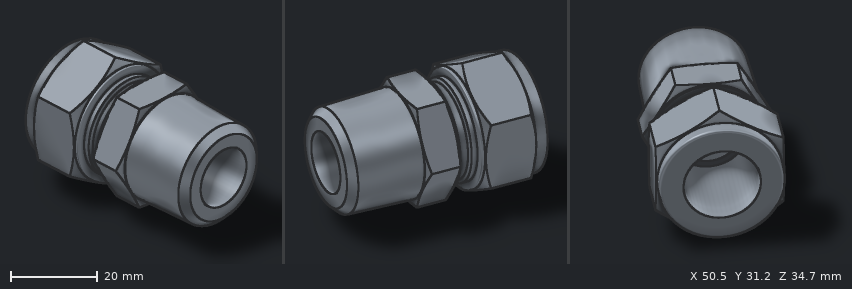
import cadquery as cq
import math

length = 50.5

nut_corners = 34.65
nut_collar_diameter = 29.6
nut_end = 17.5
nut_hex_start = 3.3
nut_hex_end = 16.55
nut_corner_angle = 30.0
nut_front_fillet = 0.8
nut_back_fillet = 0.25

shoulder_diameter = 25.35
neck_diameter = 23.6
shoulder_end = 19.5
shoulder_chamfer_length = 0.5
washer_diameter = 26.5
washer_start = 22.1

body_corners = 31.15
body_across_flats = body_corners * math.sqrt(3) / 2
body_hex_start = 22.6
body_hex_end = 31.5
body_corner_angle = 18.5

taper_ratio = 1 / 16
pipe_chamfer = 1.95

through_diameter = 15.1
tube_diameter = 18.15
tube_socket_depth = body_hex_start


def revolve_profile(points):
    """Revolve a closed (x, radius) outline about the X axis."""
    return cq.Workplane("XY").polyline(points).close().revolve(360, (0, 0, 0), (1, 0, 0))


def cylinder(start, end, diameter):
    """Round bar along X."""
    return cq.Workplane("YZ", origin=(start, 0, 0)).circle(diameter / 2).extrude(end - start)


def chamfered_hexagon(start, end, corners, face_diameter, angle, turn):
    """Hexagonal bar along X with both ends coned down to face_diameter."""
    hexagon = (
        cq.Workplane("YZ", origin=(start, 0, 0))
        .polygon(6, corners)
        .extrude(end - start)
        .rotate((0, 0, 0), (1, 0, 0), turn)
    )
    face_radius = face_diameter / 2
    outer_radius = corners / 2
    cone_length = (outer_radius - face_radius) * math.tan(math.radians(angle))
    envelope = revolve_profile([
        (start, 0),
        (start, face_radius),
        (start + cone_length, outer_radius),
        (end - cone_length, outer_radius),
        (end, face_radius),
        (end, 0),
    ])
    return hexagon.intersect(envelope)


def make_nut():
    collar = (
        cylinder(0, nut_end, nut_collar_diameter)
        .faces("<X").edges().fillet(nut_front_fillet)
        .faces(">X").edges().fillet(nut_back_fillet)
    )
    hexagon = chamfered_hexagon(
        nut_hex_start, nut_hex_end, nut_corners, nut_collar_diameter, nut_corner_angle, turn=90
    )
    return collar.union(hexagon)


def make_neck():
    shoulder_radius = shoulder_diameter / 2
    neck_radius = neck_diameter / 2
    washer_radius = washer_diameter / 2
    return revolve_profile([
        (nut_end, 0),
        (nut_end, shoulder_radius),
        (shoulder_end - shoulder_chamfer_length, shoulder_radius),
        (shoulder_end, neck_radius),
        (washer_start, neck_radius),
        (washer_start, washer_radius),
        (body_hex_start, washer_radius),
        (body_hex_start, 0),
    ])


def make_pipe_end():
    base_radius = body_across_flats / 2
    chamfer_start = length - pipe_chamfer
    rim_radius = base_radius - (chamfer_start - body_hex_end) * taper_ratio / 2
    return revolve_profile([
        (body_hex_end, 0),
        (body_hex_end, base_radius),
        (chamfer_start, rim_radius),
        (length, rim_radius - pipe_chamfer),
        (length, 0),
    ])


body_hexagon = chamfered_hexagon(
    body_hex_start, body_hex_end, body_corners, washer_diameter, body_corner_angle, turn=0
)
outside = make_nut().union(make_neck()).union(body_hexagon).union(make_pipe_end())
result = (
    outside
    .cut(cylinder(0, length, through_diameter))
    .cut(cylinder(0, tube_socket_depth, tube_diameter))
)